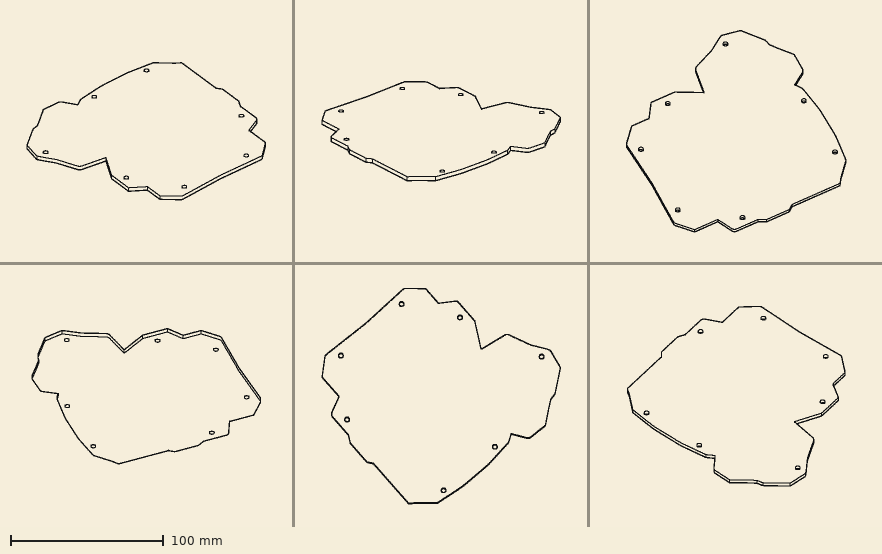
import cadquery as cq
import math

width = 129.63
depth = 139.57
thickness = 3.0

upper_edge_y = 136.95
upper_shoulder_y = 124.8
lower_shoulder_y = 34.9
lower_edge_y = 24.6

right_mid_y = (upper_shoulder_y + lower_shoulder_y) / 2
right_corner_offset = 34.1
right_corner_overhang = 0.04
right_corner_x = width + right_corner_overhang
right_shoulder_x = 120.1
right_waist_x = 128.4

left_mid_y = 91.7
left_side_x = 4.7
left_corner_x = 7.2
left_corner_offset = 30.9
left_bend_offset = 11.4
left_bend_radius = 42.0

corner_radius = 3.0

hole_diameter = 3.1
right_hole_x = 122.8
right_hole_offset = 26.3
left_hole_x = 10.8
left_hole_offset = 22.2
top_hole = (87.9, 130.9)
bottom_hole = (91.0, 30.4)
thumb_hole = (36.3, 7.0)

SHARP = 0
upper_edge = [
    (left_corner_x, left_mid_y + left_corner_offset, SHARP),
    (16.5, 133.2, SHARP),
    (19.1, upper_edge_y, SHARP),
    (54.5, upper_edge_y, SHARP),
    (57.9, depth, SHARP),
    (74.7, depth, SHARP),
    (79.5, upper_edge_y, SHARP),
    (97.3, upper_edge_y, corner_radius),
    (103.0, upper_shoulder_y, SHARP),
]
right_side = [
    (right_shoulder_x, upper_shoulder_y, SHARP),
    (right_corner_x, right_mid_y + right_corner_offset, corner_radius),
    (right_waist_x, right_mid_y, SHARP),
    (right_corner_x, right_mid_y - right_corner_offset, corner_radius),
    (right_shoulder_x, lower_shoulder_y, SHARP),
]
lower_edge = [
    (107.3, lower_shoulder_y, SHARP),
    (100.4, lower_edge_y, SHARP),
    (82.9, lower_edge_y, SHARP),
    (65.9, 33.8, SHARP),
]
thumb_lobe = [
    (62.6, 14.4, corner_radius),
    (46.7, 7.3, SHARP),
    (37.4, 0.9, SHARP),
    (35.8, 0, SHARP),
    (34.8, 0.1, SHARP),
    (22.7, 2.4, SHARP),
    (11.8, 16.5, SHARP),
    (10.9, 20.9, SHARP),
    (7.0, 26.2, SHARP),
    (0, 35.0, SHARP),
    (0.4, 48.9, corner_radius),
    (10.4, 55.7, SHARP),
]
left_side = [
    (left_corner_x, left_mid_y - left_corner_offset, SHARP),
    (left_side_x, left_mid_y - left_bend_offset, left_bend_radius),
    (left_side_x, left_mid_y + left_bend_offset, left_bend_radius),
]


def rounded_outline(corners):
    """Closed wire of straight edges, with a tangent arc at each corner that has a radius."""
    outline = None
    for index, (x, y, radius) in enumerate(corners):
        if outline is None:
            outline = cq.Workplane("XY").moveTo(x, y)
            continue
        if radius == SHARP:
            outline = outline.lineTo(x, y)
            continue
        corner = cq.Vector(x, y)
        before = cq.Vector(*corners[index - 1][:2])
        after = cq.Vector(*corners[(index + 1) % len(corners)][:2])
        to_before = (before - corner).normalized()
        to_after = (after - corner).normalized()
        half_angle = to_before.getAngle(to_after) / 2
        setback = radius / math.tan(half_angle)
        arc_start = corner + to_before * setback
        arc_end = corner + to_after * setback
        bisector = (to_before + to_after).normalized()
        arc_middle = corner + bisector * (radius / math.sin(half_angle) - radius)
        outline = outline.lineTo(arc_start.x, arc_start.y)
        outline = outline.threePointArc((arc_middle.x, arc_middle.y), (arc_end.x, arc_end.y))
    return outline.close()


def screw_holes():
    """Cutters for the through holes."""
    centres = [top_hole, bottom_hole, thumb_hole]
    for side in (1, -1):
        centres.append((right_hole_x, right_mid_y + side * right_hole_offset))
        centres.append((left_hole_x, left_mid_y + side * left_hole_offset))
    return cq.Workplane("XY").pushPoints(centres).circle(hole_diameter / 2).extrude(thickness)


outline_corners = upper_edge + right_side + lower_edge + thumb_lobe + left_side
plate = rounded_outline(outline_corners).extrude(thickness)
result = plate.cut(screw_holes())